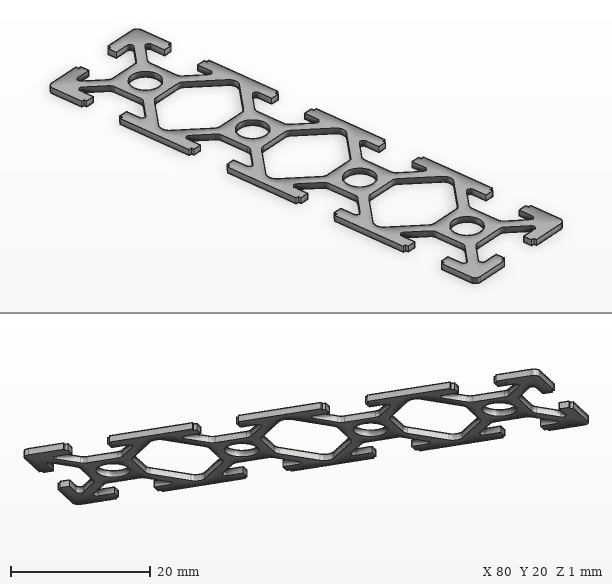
import cadquery as cq
import math

length = 80.0
cell_count = 4
cell = length / cell_count
thickness = cell / 20
corner_radius = 1.0

bore_diameter = 5.0
core_width = 8.1
strut_thickness = 1.6
core_corner_radius = 1.2

lip_thickness = 2.0
mouth_width = 6.2
step_size = 0.5
slot_tip_radius = 0.6

window_tip_radius = 1.5

half_cell = cell / 2
half_core = core_width / 2
half_mouth = mouth_width / 2
lip_inside = half_cell - lip_thickness
half_wall = half_core - strut_thickness / math.sqrt(2)
bore_centers = [((i - (cell_count - 1) / 2) * cell, 0) for i in range(cell_count)]
window_centers = [((i - cell_count / 2) * cell, 0) for i in range(1, cell_count)]


def mirrored(half_outline):
    """Join an outline given on its +X side with its mirror image."""
    return half_outline + [(-x, y) for x, y in reversed(half_outline)]


def prism(points):
    """Extrude a closed outline through the thickness."""
    return cq.Workplane("XY").polyline(points).close().extrude(thickness)


def round_corners(body, corners, radius):
    """Fillet the upright edges standing at the given corners."""
    reach = 0.1
    for x, y in corners:
        box = cq.selectors.BoxSelector(
            (x - reach, y - reach, -reach),
            (x + reach, y + reach, thickness + reach),
        )
        body = body.edges("|Z").edges(box).fillet(radius)
    return body


def slot():
    """Slot opening toward +Y of a cell centred on the origin, with 45 degree flanks."""
    tip = (half_wall + lip_inside - half_core, lip_inside)
    floor_corner = (half_wall, half_core)
    right_half = [
        (half_mouth + step_size, half_cell),
        (half_mouth + step_size, half_cell - step_size),
        (half_mouth, half_cell - step_size),
        (half_mouth, lip_inside),
        tip,
        floor_corner,
    ]
    body = prism(mirrored(right_half))
    body = round_corners(body, mirrored([tip]), slot_tip_radius)
    return round_corners(body, mirrored([floor_corner]), core_corner_radius)


def window():
    """Hexagonal opening centred midway between two cells, with all corners rounded."""
    half_width = half_cell - half_core
    apex = half_wall + half_width
    tips = [(0, apex), (0, -apex)]
    right_walls = [(half_width, half_wall), (half_width, -half_wall)]
    left_walls = [(-x, -y) for x, y in right_walls]
    body = prism([tips[0]] + right_walls + [tips[1]] + left_walls)
    body = round_corners(body, tips, window_tip_radius)
    return round_corners(body, right_walls + left_walls, core_corner_radius)


def cut_slot(body, center_x, angle):
    """Cut a slot into one cell, turned by the angle from the +Y direction."""
    turned = slot().rotate((0, 0, 0), (0, 0, 1), angle)
    return body.cut(turned.translate((center_x, 0, 0)))


plate = cq.Workplane("XY").box(length, cell, thickness, centered=(True, True, False))
plate = plate.edges("|Z").fillet(corner_radius)

bores = cq.Workplane("XY").pushPoints(bore_centers).circle(bore_diameter / 2)
plate = plate.cut(bores.extrude(thickness))

for x, _ in bore_centers:
    for angle in (0, 180):
        plate = cut_slot(plate, x, angle)
plate = cut_slot(plate, bore_centers[0][0], 90)
plate = cut_slot(plate, bore_centers[-1][0], -90)

for x, _ in window_centers:
    plate = plate.cut(window().translate((x, 0, 0)))

result = plate